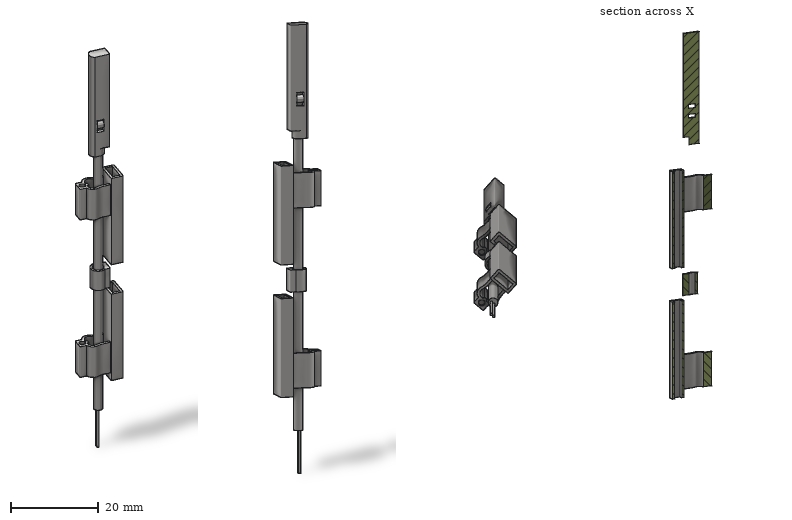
import cadquery as cq
import math

TOTAL_LENGTH = 104.6
WIRE_LENGTH = 10.0
HEAD_LENGTH = 26.6
HOLDER_LENGTH = 23.0
UPPER_HOLDER_TOP = 72.2
LOWER_HOLDER_BOTTOM = 18.3
RING_BOTTOM = 42.5
RING_LENGTH = 5.1

CABLE_DIAMETER = 2.2
WIRE_DIAMETER = 0.6
WIRE_SPACING = 0.69
WIRE_Y = -0.2
HEAD_WIDTH = 2.9
HEAD_BACK = 2.3
HEAD_SHOULDER = -1.5
HEAD_FRONT = -2.3
HEAD_BACK_ROUND = 0.2
NECK_LENGTH = 1.9
WINDOW_WIDTH = 1.7
WINDOW_HEIGHT = 3.1
WINDOW_DEPTH = 0.8
LEFT_WINDOW_Z = 87.2
RIGHT_WINDOW_Z = 86.0
ROLLER_DIAMETER = 1.8
ROLLER_PROTRUSION = 0.16

HOLDER_WIDTH = 5.4
BAR_BACK = 5.1
BAR_FRONT = 2.1
BAR_WALL = 0.6
BAR_BACK_ROUND = 0.2
HOOK_LENGTH = 8.2
HOOK_INSET = 1.9
HOOK_WALL = 0.6
ARM_HALF_WIDTH = 2.3
ARM_STRAIGHT_END = 0.3
FLARE_END = -1.3
FLARE_HALF_WIDTH = 2.6
FLARE_SAG = 0.08
CUP_RADIUS = 1.8
CUP_CENTER_Y = -1.8
FOOT_WIDTH = 2.9
FOOT_FRONT = -5.1
FOOT_ROUND = 0.26
FOOT_HOLE_DIAMETER = 1.5
FOOT_HOLE_Y = -4.0
FOOT_HOLE_DEPTH = 1.0
RIB_WIDTH = 0.9
RIB_BACK = -2.5

RING_DIAMETER = 3.8
RING_BORE = 2.7
RING_TAB_WIDTH = 3.0
RING_TAB_BACK = 2.4
RING_TAB_ROUND = 0.2


def block(x_size, y_min, y_max, z_min, z_max):
    """Box centred on X between the given Y and Z limits."""
    return (
        cq.Workplane("XY")
        .box(x_size, y_max - y_min, z_max - z_min, centered=(True, False, False))
        .translate((0, y_min, z_min))
    )


def rod(diameter, z_min, z_max, x=0, y=0):
    """Upright cylinder between the given Z limits."""
    return cq.Workplane("XY", origin=(x, y, z_min)).circle(diameter / 2).extrude(z_max - z_min)


def make_head():
    """Flat-sided head with a bowed front and a round neck at its lower end."""
    bottom = TOTAL_LENGTH - HEAD_LENGTH
    neck_top = bottom + NECK_LENGTH
    half_width = HEAD_WIDTH / 2
    head = (
        cq.Workplane("XY", origin=(0, 0, bottom))
        .moveTo(-half_width, HEAD_BACK)
        .lineTo(-half_width, HEAD_SHOULDER)
        .threePointArc((0, HEAD_FRONT), (half_width, HEAD_SHOULDER))
        .lineTo(half_width, HEAD_BACK)
        .close()
        .extrude(HEAD_LENGTH)
        .edges("|Z and >Y")
        .fillet(HEAD_BACK_ROUND)
    )
    head = head.cut(block(HEAD_WIDTH, 0, HEAD_BACK, bottom, neck_top))
    return head.union(rod(HEAD_WIDTH, bottom, neck_top))


def add_side_roller(head, side, z):
    """Cut a window in one side (-1 or 1) of the head and set a slightly protruding roller in it."""
    face_x = side * HEAD_WIDTH / 2
    window = (
        cq.Workplane("XY")
        .box(2 * WINDOW_DEPTH, WINDOW_WIDTH, WINDOW_HEIGHT)
        .translate((face_x, 0, z))
    )
    roller_x = face_x + side * (ROLLER_PROTRUSION - ROLLER_DIAMETER / 2)
    roller = (
        cq.Workplane("XZ", origin=(roller_x, WINDOW_WIDTH / 2, z))
        .circle(ROLLER_DIAMETER / 2)
        .extrude(WINDOW_WIDTH)
    )
    return head.cut(window).union(roller)


def make_sensor():
    """Head, cable and two bare wires side by side."""
    sensor = make_head()
    sensor = add_side_roller(sensor, -1, LEFT_WINDOW_Z)
    sensor = add_side_roller(sensor, 1, RIGHT_WINDOW_Z)
    sensor = sensor.union(rod(CABLE_DIAMETER, WIRE_LENGTH, TOTAL_LENGTH - HEAD_LENGTH))
    for side in (-1, 1):
        wire_x = side * WIRE_SPACING / 2
        sensor = sensor.union(rod(WIRE_DIAMETER, 0, WIRE_LENGTH, x=wire_x, y=WIRE_Y))
    return sensor


def hook_outline(inset):
    """Closed hook outline: straight arms, concave flares and a rounded cup, moved inwards by the inset."""
    arm_x = ARM_HALF_WIDTH - inset
    flare_x = FLARE_HALF_WIDTH - inset
    flare_mid_x = (arm_x + flare_x) / 2 - FLARE_SAG
    flare_mid_y = (ARM_STRAIGHT_END + FLARE_END) / 2
    radius = CUP_RADIUS - inset
    corner_x = HOLDER_WIDTH / 2 - CUP_RADIUS
    cup_front = CUP_CENTER_Y - radius
    diagonal = radius * math.sqrt(0.5)
    cup_mid_x = corner_x + diagonal
    cup_mid_y = CUP_CENTER_Y - diagonal
    return (
        cq.Workplane("XY")
        .moveTo(-arm_x, BAR_FRONT)
        .lineTo(-arm_x, ARM_STRAIGHT_END)
        .threePointArc((-flare_mid_x, flare_mid_y), (-flare_x, FLARE_END))
        .threePointArc((-cup_mid_x, cup_mid_y), (-corner_x, cup_front))
        .lineTo(corner_x, cup_front)
        .threePointArc((cup_mid_x, cup_mid_y), (flare_x, FLARE_END))
        .threePointArc((flare_mid_x, flare_mid_y), (arm_x, ARM_STRAIGHT_END))
        .lineTo(arm_x, BAR_FRONT)
        .close()
    )


def make_bar():
    """Hollow rectangular bar with its top end at Z = 0."""
    bar = block(HOLDER_WIDTH, BAR_FRONT, BAR_BACK, -HOLDER_LENGTH, 0)
    bar = bar.edges("|Z and >Y").fillet(BAR_BACK_ROUND)
    inner_width = HOLDER_WIDTH - 2 * BAR_WALL
    return bar.cut(
        block(inner_width, BAR_FRONT + BAR_WALL, BAR_BACK - BAR_WALL, -HOLDER_LENGTH, 0)
    )


def make_hook():
    """Hook with a foot in front and a rib inside, standing on Z = 0."""
    inner_front = CUP_CENTER_Y - CUP_RADIUS + HOOK_WALL
    foot = block(FOOT_WIDTH, FOOT_FRONT, inner_front, 0, HOOK_LENGTH)
    foot = foot.edges("|Z and <Y").fillet(FOOT_ROUND)
    hook = hook_outline(0).extrude(HOOK_LENGTH).union(foot)
    hook = hook.cut(hook_outline(HOOK_WALL).extrude(HOOK_LENGTH))
    hook = hook.union(block(RIB_WIDTH, inner_front, RIB_BACK, 0, HOOK_LENGTH))
    for hole_bottom in (0, HOOK_LENGTH - FOOT_HOLE_DEPTH):
        hole_top = hole_bottom + FOOT_HOLE_DEPTH
        hook = hook.cut(rod(FOOT_HOLE_DIAMETER, hole_bottom, hole_top, y=FOOT_HOLE_Y))
    return hook


def make_holder():
    """Holder with its top end at Z = 0."""
    return make_bar().union(make_hook().translate((0, 0, -HOOK_INSET - HOOK_LENGTH)))


def make_ring():
    """Loose ring around the cable with a square tab at the back."""
    top = RING_BOTTOM + RING_LENGTH
    tab = block(RING_TAB_WIDTH, 0, RING_TAB_BACK, RING_BOTTOM, top)
    tab = tab.edges("|Z and >Y").fillet(RING_TAB_ROUND)
    ring = rod(RING_DIAMETER, RING_BOTTOM, top).union(tab)
    return ring.cut(rod(RING_BORE, RING_BOTTOM, top))


def make_holders():
    """Solids of the upper holder and of the lower one, which is turned upside down."""
    holders = []
    for end_z, upside_down in ((UPPER_HOLDER_TOP, False), (LOWER_HOLDER_BOTTOM, True)):
        holder = make_holder()
        if upside_down:
            holder = holder.mirror("XY")
        holders.append(holder.translate((0, 0, end_z)).solids().val())
    return holders


sensor = make_sensor().solids().val()
ring = make_ring().solids().val()
holders = make_holders()

result = cq.Compound.makeCompound([sensor, ring, *holders])